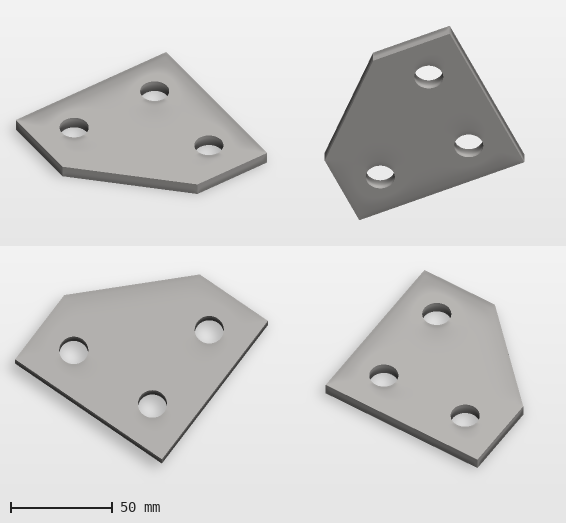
import cadquery as cq

side = 88.9
thickness = 6.3
hole_inset = 20.6
hole_diameter = 14.3

arm_width = 2 * hole_inset
hole_far = side - hole_inset

outline = [
    (0, 0),
    (arm_width, 0),
    (side, side - arm_width),
    (side, side),
    (0, side),
]
plate = cq.Workplane("XY").polyline(outline).close().extrude(thickness)

hole_centres = [
    (hole_inset, hole_inset),
    (hole_inset, hole_far),
    (hole_far, hole_far),
]
holes = (
    cq.Workplane("XY")
    .pushPoints(hole_centres)
    .circle(hole_diameter / 2)
    .extrude(thickness)
)

result = plate.cut(holes)